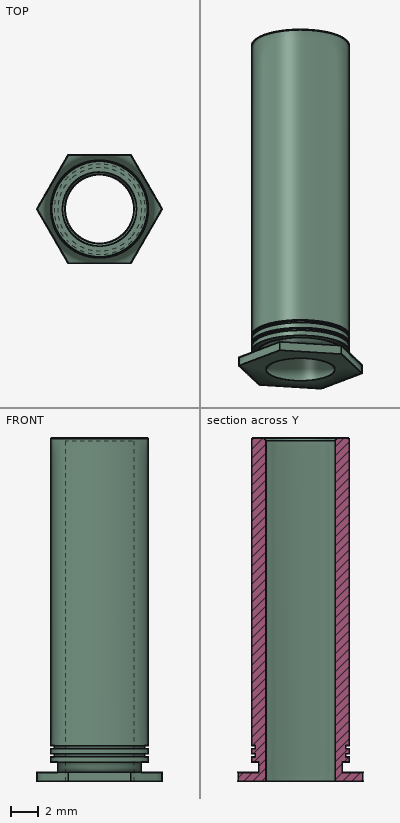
import cadquery as cq
import math

hex_across_flats = 7.9
hex_across_corners = hex_across_flats / math.cos(math.radians(30))
head_height = 0.64

total_height = 25.0
barrel_diameter = 7.12
neck_diameter = 6.1
neck_height = 0.76
groove_diameter = 6.61
groove_count = 2
groove_width = 0.22
ring_width = 0.38
rim_chamfer = 0.08

bore_diameter = 5.0
bore_mouth_diameter = 5.4
bore_chamfer = (bore_mouth_diameter - bore_diameter) / 2

neck_top = head_height + neck_height
groove_pitch = ring_width + groove_width


def make_cylinder(diameter, bottom, top):
    return cq.Workplane("XY").workplane(offset=bottom).circle(diameter / 2).extrude(top - bottom)


def make_head():
    return cq.Workplane("XY").polygon(6, hex_across_corners).extrude(head_height)


def make_annulus(outer_diameter, inner_diameter, bottom, top):
    return make_cylinder(outer_diameter, bottom, top).cut(make_cylinder(inner_diameter, bottom, top))


def make_barrel():
    barrel = make_cylinder(barrel_diameter, head_height, total_height)
    barrel = barrel.faces(">Z").edges().chamfer(rim_chamfer)
    barrel = barrel.cut(make_annulus(barrel_diameter, neck_diameter, head_height, neck_top))
    for index in range(groove_count):
        bottom = neck_top + ring_width + index * groove_pitch
        groove = make_annulus(barrel_diameter, groove_diameter, bottom, bottom + groove_width)
        barrel = barrel.cut(groove)
    return barrel


def cut_bore(body):
    body = body.cut(make_cylinder(bore_diameter, 0, total_height))
    return body.faces(">Z").edges(cq.selectors.RadiusNthSelector(0)).chamfer(bore_chamfer)


result = cut_bore(make_head().union(make_barrel()))